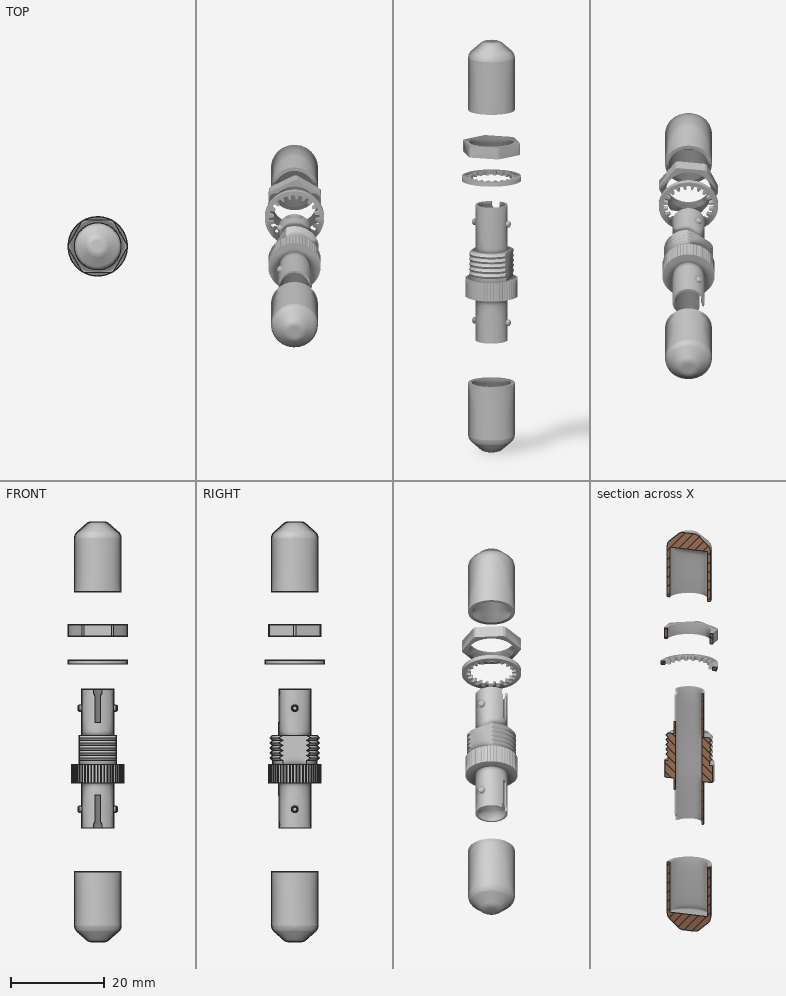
import cadquery as cq
import math

total_height = 89.79
coupler_bottom = 24.3
washer_bottom = 59.35
nut_bottom = 65.3

cap_height = 15.0
cap_radius = 5.0
cap_wall = 0.8
cap_end_thickness = 1.0
cap_cone_height = 2.75
cap_cone_top_radius = 1.9
cap_shoulder_fillet = 1.6
cap_tip_fillet = 1.55

nut_across_flats = 11.2
nut_corner_diameter = 12.65
nut_thickness = 2.5
nut_bore_radius = 4.8

washer_outer_radius = 6.35
washer_ring_inner_radius = 5.4
washer_tip_radius = 4.45
washer_thickness = 0.9
washer_tooth_count = 20
washer_tooth_root_width = 0.8
washer_tooth_tip_width = 0.4
washer_first_tooth_angle = 45.0

coupler_length = 29.7
barrel_radius = 3.45
barrel_bore_radius = 3.0
collar_radius = 5.6
collar_bottom = 9.7
collar_top = 13.65
thread_crest_radius = 5.25
thread_root_radius = 4.75
thread_pitch = 1.08
thread_count = 5
thread_top = 19.85
thread_across_flats = 8.0
knurl_count = 50
knurl_width = 0.2
knurl_depth = 0.1
slot_width = 1.2
slot_length = 7.1
slot_mouth_width = 1.9
slot_mouth_straight = 0.8
slot_mouth_length = 1.4
pin_radius = 0.7
pin_tip_radius = 4.2
pin_chamfer = 0.25
pin_end_distance = 4.05


def build_cap():
    """Cup with its open rim at Z = 0 and a rounded cone closing its top."""
    shoulder_height = cap_height - cap_cone_height
    outer = (
        cq.Workplane("XZ")
        .moveTo(0, 0)
        .lineTo(cap_radius, 0)
        .lineTo(cap_radius, shoulder_height)
        .lineTo(cap_cone_top_radius, cap_height)
        .lineTo(0, cap_height)
        .close()
        .revolve(360, (0, 0, 0), (0, 1, 0))
    )
    shoulder_edge = cq.NearestToPointSelector((0, 0, shoulder_height))
    outer = outer.edges(shoulder_edge).fillet(cap_shoulder_fillet)
    outer = outer.faces(">Z").edges().fillet(cap_tip_fillet)
    bore_depth = shoulder_height - cap_end_thickness
    bore = cq.Workplane("XY").circle(cap_radius - cap_wall).extrude(bore_depth)
    return outer.cut(bore)


def build_nut():
    """Hexagon with two flats facing +Y and -Y and its corners turned round."""
    hexagon_diameter = nut_across_flats / math.cos(math.pi / 6)
    hexagon = cq.Workplane("XY").polygon(6, hexagon_diameter).extrude(nut_thickness)
    corner_round = cq.Workplane("XY").circle(nut_corner_diameter / 2).extrude(nut_thickness)
    bore = cq.Workplane("XY").circle(nut_bore_radius).extrude(nut_thickness)
    return hexagon.intersect(corner_round).cut(bore)


def build_washer():
    """Flat ring with a crown of tapered teeth that point inwards."""
    ring_middle_radius = (washer_outer_radius + washer_ring_inner_radius) / 2
    half_root = washer_tooth_root_width / 2
    half_tip = washer_tooth_tip_width / 2
    washer = (
        cq.Workplane("XY")
        .circle(washer_outer_radius)
        .circle(washer_ring_inner_radius)
        .extrude(washer_thickness)
    )
    tooth = (
        cq.Workplane("XY")
        .moveTo(washer_tip_radius, -half_tip)
        .lineTo(washer_ring_inner_radius, -half_root)
        .lineTo(ring_middle_radius, -half_root)
        .lineTo(ring_middle_radius, half_root)
        .lineTo(washer_ring_inner_radius, half_root)
        .lineTo(washer_tip_radius, half_tip)
        .close()
        .extrude(washer_thickness)
    )
    for index in range(washer_tooth_count):
        angle = washer_first_tooth_angle + index * 360 / washer_tooth_count
        washer = washer.union(tooth.rotate((0, 0, 0), (0, 0, 1), angle))
    return washer


def build_thread():
    """V-shaped rings above a plain neck, with two flats facing +X and -X."""
    profile = [(0, collar_top), (0, thread_top), (thread_root_radius, thread_top)]
    for index in range(thread_count):
        ring_top = thread_top - index * thread_pitch
        profile.append((thread_crest_radius, ring_top - thread_pitch / 2))
        profile.append((thread_root_radius, ring_top - thread_pitch))
    profile.append((thread_root_radius, collar_top))
    rings = cq.Workplane("XZ").polyline(profile).close().revolve(360, (0, 0, 0), (0, 1, 0))
    flats = (
        cq.Workplane("XY")
        .workplane(offset=collar_top)
        .rect(thread_across_flats, 2 * thread_crest_radius)
        .extrude(thread_top - collar_top)
    )
    return rings.intersect(flats)


def build_collar():
    """Collar with straight V grooves all round its rim and a land facing +X."""
    pitch_angle = 360 / knurl_count
    half_groove = math.degrees(knurl_width / 2 / collar_radius)
    half_land = pitch_angle / 2 - half_groove

    def rim_point(radius, angle):
        return (radius * math.cos(math.radians(angle)), radius * math.sin(math.radians(angle)))

    outline = cq.Workplane("XY").moveTo(*rim_point(collar_radius, -half_land))
    for index in range(knurl_count):
        land_centre = index * pitch_angle
        groove_centre = land_centre + pitch_angle / 2
        outline = (
            outline.threePointArc(
                rim_point(collar_radius, land_centre),
                rim_point(collar_radius, land_centre + half_land),
            )
            .lineTo(*rim_point(collar_radius - knurl_depth, groove_centre))
            .lineTo(*rim_point(collar_radius, groove_centre + half_groove))
        )
    collar = outline.close().extrude(collar_top - collar_bottom)
    return collar.translate((0, 0, collar_bottom))


def build_slot_cutter():
    """Keyway with a flared mouth, cut into the -Y wall from the lower end."""
    half_slot = slot_width / 2
    half_mouth = slot_mouth_width / 2
    return (
        cq.Workplane("XZ")
        .moveTo(-half_mouth, 0)
        .lineTo(half_mouth, 0)
        .lineTo(half_mouth, slot_mouth_straight)
        .lineTo(half_slot, slot_mouth_length)
        .lineTo(half_slot, slot_length)
        .lineTo(-half_slot, slot_length)
        .lineTo(-half_slot, slot_mouth_length)
        .lineTo(-half_mouth, slot_mouth_straight)
        .close()
        .extrude(barrel_radius)
    )


def build_bayonet_pins():
    """Crosswise rod along X near the lower end, whose tips form both pins."""
    return (
        cq.Workplane("YZ")
        .center(0, pin_end_distance)
        .circle(pin_radius)
        .extrude(pin_tip_radius, both=True)
        .faces("<X or >X")
        .chamfer(pin_chamfer)
    )


def mirrored_pair(lower):
    """The feature at the lower end together with its mirror image at the upper end."""
    return lower.union(lower.mirror("XY", (0, 0, coupler_length / 2)))


def build_coupler():
    """Tube with a bayonet socket at either end, a threaded middle and a knurled collar."""
    barrel = cq.Workplane("XY").circle(barrel_radius).extrude(coupler_length)
    bore = cq.Workplane("XY").circle(barrel_bore_radius).extrude(coupler_length)
    return (
        barrel.union(build_collar())
        .union(build_thread())
        .union(mirrored_pair(build_bayonet_pins()))
        .cut(bore)
        .cut(mirrored_pair(build_slot_cutter()))
    )


cap = build_cap()
upper_cap = cap.translate((0, 0, total_height - cap_height))
lower_cap = cap.mirror("XY").translate((0, 0, cap_height))
nut = build_nut().translate((0, 0, nut_bottom))
washer = build_washer().translate((0, 0, washer_bottom))
coupler = build_coupler().translate((0, 0, coupler_bottom))

result = cq.Compound.makeCompound(
    [upper_cap.val(), nut.val(), washer.val(), coupler.val(), lower_cap.val()]
)